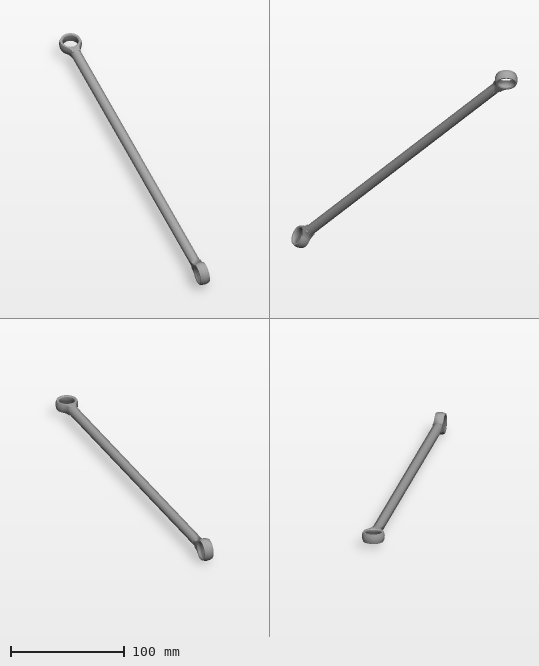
import cadquery as cq

length = 325.0
rod_diameter = 9.0

ring_diameter = 20.0
crown_height = 1.0
head_thickness = 8.5
bore_diameter = 14.0
bore_chamfer = 0.8

neck_length = 13.5
flat_length = 17.2

ring_radius = ring_diameter / 2
rod_radius = rod_diameter / 2
half_thickness = head_thickness / 2
centre_offset = length / 2 - ring_radius

flank_radius = (neck_length**2 + rod_radius**2 - ring_radius**2) / (2 * (ring_radius - rod_radius))
flank_centre_y = rod_radius + flank_radius


def make_disc(middle_radius, rim_radius):
    """Disc about Z, as thick as the head, with an arc from rim to rim as its wall."""
    return (
        cq.Workplane("XZ")
        .moveTo(0, -half_thickness)
        .lineTo(rim_radius, -half_thickness)
        .threePointArc((middle_radius, 0), (rim_radius, half_thickness))
        .lineTo(0, half_thickness)
        .close()
        .revolve(360, (0, 0), (0, 1))
    )


def make_neck():
    """Wedge from the ring centre to the two flank centres, hollowed by the flank discs.

    The discs are waisted by the crown height, so the crown of the ring runs on along the neck.
    """
    neck = (
        cq.Workplane("XY", origin=(0, 0, -half_thickness))
        .polyline([(0, 0), (neck_length, -flank_centre_y), (neck_length, flank_centre_y)])
        .close()
        .extrude(head_thickness)
    )
    flank_disc = make_disc(flank_radius, flank_radius + crown_height)
    for side in (-1, 1):
        neck = neck.cut(flank_disc.translate((neck_length, side * flank_centre_y, 0)))
    return neck


def make_rod_half():
    """Rod from the ring centre to mid-length, flattened to the head thickness near the ring."""
    rod = cq.Workplane("YZ").circle(rod_radius).extrude(centre_offset)
    flat_slab = cq.Workplane("XY").box(2 * flat_length, rod_diameter, head_thickness)
    flat_part = rod.intersect(flat_slab)
    round_part = cq.Workplane("YZ", origin=(flat_length, 0, 0)).circle(rod_radius)
    return flat_part.union(round_part.extrude(centre_offset - flat_length))


def make_bore():
    """Through bore with a chamfer at each mouth."""
    bore_radius = bore_diameter / 2
    mouth_radius = bore_radius + bore_chamfer
    straight_half = half_thickness - bore_chamfer
    profile = [
        (0, -half_thickness),
        (mouth_radius, -half_thickness),
        (bore_radius, -straight_half),
        (bore_radius, straight_half),
        (mouth_radius, half_thickness),
        (0, half_thickness),
    ]
    return cq.Workplane("XZ").polyline(profile).close().revolve(360, (0, 0), (0, 1))


ring = make_disc(ring_radius, ring_radius - crown_height)
half_link = ring.union(make_neck()).union(make_rod_half()).cut(make_bore())

left_half = half_link.translate((-centre_offset, 0, 0))
right_half = (
    half_link.rotate((0, 0, 0), (1, 0, 0), 90)
    .rotate((0, 0, 0), (0, 0, 1), 180)
    .translate((centre_offset, 0, 0))
)
result = left_half.union(right_half)